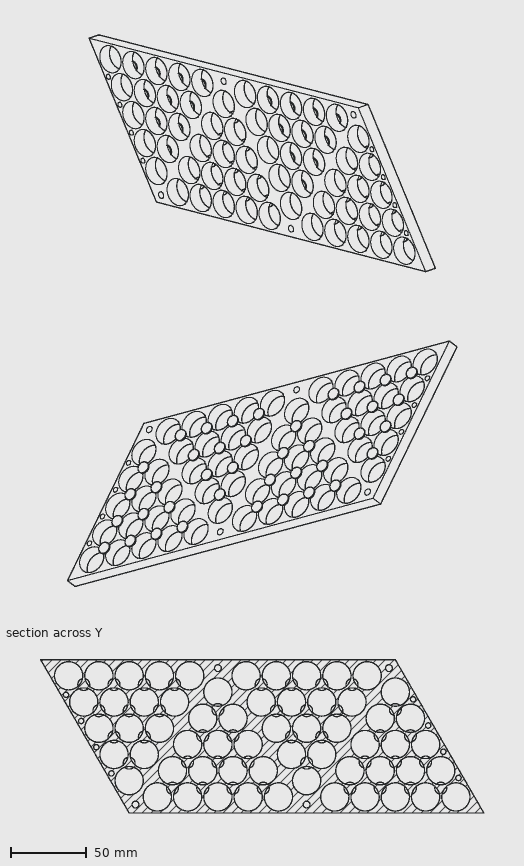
import cadquery as cq
import math

cells_per_side = 5
pair_count = 2
cell_pitch = 20.0
cell_diameter = 18.5
edge_wall = 1.5

plate_thickness = 10.0
pad_height = 1.0
pad_diameter = 8.0

edge_hole_diameter = 4.4
edge_hole_distance = 5.7
edge_hole_corner_inset = 4.2
end_hole_diameter = 3.4
end_hole_distance = 3.0

sin60 = math.sin(math.radians(60))
cos60 = math.cos(math.radians(60))
cell_margin = cell_diameter / 2 + edge_wall
triangle_side = (cells_per_side - 1) * cell_pitch + 2 * math.sqrt(3) * cell_margin
plate_height = triangle_side * sin60
plate_slant = triangle_side * cos60
plate_length = pair_count * triangle_side
row_pitch = cell_pitch * sin60

first_cell_x = cell_margin * math.sqrt(3)
first_cell_z = plate_height - cell_margin
first_pad_x = first_cell_x + cell_pitch / 2
first_pad_z = first_cell_z - cell_pitch / (2 * math.sqrt(3))


def turned(points):
    """Rotate points half a turn about the plate centre."""
    return [(plate_length + plate_slant - x, plate_height - z) for x, z in points]


def stack_points(first_x, first_z, row_length):
    """Points of a downward-pointing triangular stack, given its upper-left point."""
    points = []
    for row in range(row_length):
        for column in range(row_length - row):
            x = first_x + (column + row / 2) * cell_pitch
            points.append((x, first_z - row * row_pitch))
    return points


def points_in_all_triangles(first_x, first_z, row_length):
    """Repeat a stack along the plate and add the opposed upward-pointing stacks."""
    points = []
    for pair in range(pair_count):
        points += stack_points(first_x + pair * triangle_side, first_z, row_length)
    return points + turned(points)


def edge_hole_points():
    """One hole at each triangle joint and one at each blunt corner."""
    z = plate_height - edge_hole_distance
    upper_points = [(pair * triangle_side, z) for pair in range(1, pair_count)]
    upper_points.append((plate_length - edge_hole_corner_inset, z))
    return upper_points + turned(upper_points)


def end_hole_points():
    """Holes along the slanted ends, halfway between neighbouring rows of cells."""
    points = []
    for gap in range(cells_per_side - 1):
        along_end = first_cell_x + (gap + 0.5) * cell_pitch
        x = along_end * cos60 + end_hole_distance * sin60
        z = plate_height - along_end * sin60 + end_hole_distance * cos60
        points.append((x, z))
    return points + turned(points)


def cylinders(points, diameter, start_y, length):
    """Cylinders running along +Y from start_y."""
    plane = cq.Workplane("XZ", origin=(0, start_y, 0))
    return plane.pushPoints(points).circle(diameter / 2).extrude(-length)


def through_holes(points, diameter):
    return cylinders(points, diameter, 0, plate_thickness)


def make_plate():
    """Parallelogram plate with its front face at Y = 0."""
    outline = [
        (0, plate_height),
        (plate_length, plate_height),
        (plate_length + plate_slant, 0),
        (plate_slant, 0),
    ]
    return cq.Workplane("XZ").polyline(outline).close().extrude(-plate_thickness)


cell_points = points_in_all_triangles(first_cell_x, first_cell_z, cells_per_side)
pad_points = points_in_all_triangles(first_pad_x, first_pad_z, cells_per_side - 1)

plate = make_plate()
plate = plate.cut(through_holes(cell_points, cell_diameter))
plate = plate.cut(through_holes(edge_hole_points(), edge_hole_diameter))
plate = plate.cut(through_holes(end_hole_points(), end_hole_diameter))

pads = cylinders(pad_points, pad_diameter, plate_thickness, pad_height)
result = plate.union(pads)